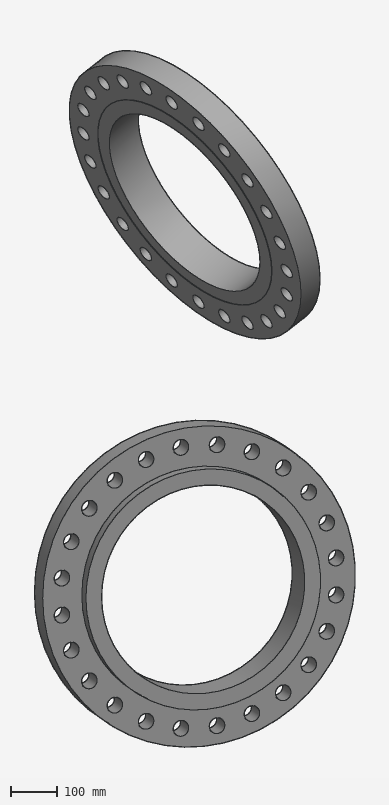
import cadquery as cq

outer_diameter = 711.0
bore_diameter = 461.5
hub_diameter = 533.5
total_thickness = 89.0
hub_height = 29.0
face_height = 1.5

bolt_count = 24
bolt_diameter = 35.0
bolt_circle_diameter = 629.0
bolt_pitch = 360.0 / bolt_count

plate_thickness = total_thickness - hub_height - face_height
hub_start = face_height + plate_thickness


def disc(diameter, start_y, length):
    """Solid disc about the Y axis, growing toward +Y from start_y."""
    plane = cq.Workplane("XZ", origin=(0, start_y, 0))
    return plane.circle(diameter / 2).extrude(-length)


def bolt_holes():
    """Ring of through-hole cutters, straddling the X and Z axes."""
    return (
        cq.Workplane("XZ", origin=(0, face_height, 0))
        .polarArray(bolt_circle_diameter / 2, bolt_pitch / 2, 360, bolt_count)
        .circle(bolt_diameter / 2)
        .extrude(-plate_thickness)
    )


raised_face = disc(hub_diameter, 0, face_height)
plate = disc(outer_diameter, face_height, plate_thickness)
hub = disc(hub_diameter, hub_start, hub_height)
bore = disc(bore_diameter, 0, total_thickness)

result = plate.union(raised_face).union(hub).cut(bore).cut(bolt_holes())